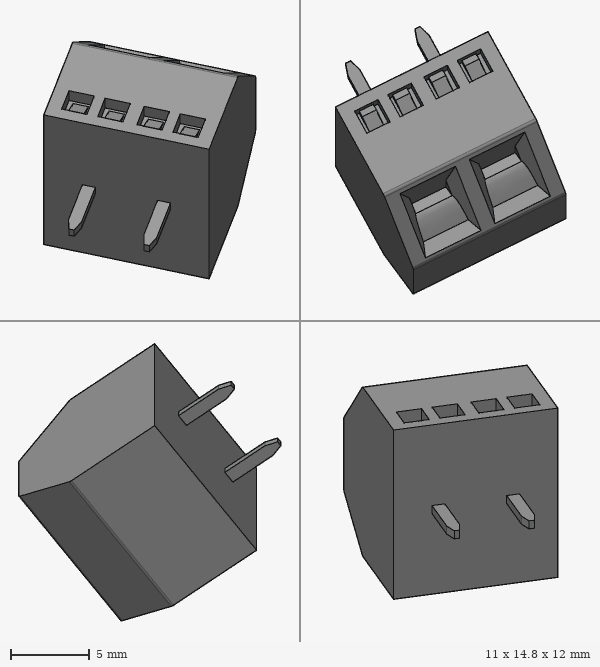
import cadquery as cq
import math

POLES = 2
PITCH = 5.0
HOUSING_WIDTH = 11.0
HOUSING_DEPTH = 10.8
HOUSING_HEIGHT = 12.0
HALF_HEIGHT = HOUSING_HEIGHT / 2
UPPER_CHAMFER = 4.08
LOWER_CHAMFER_DEPTH = 4.1
LOWER_CHAMFER_HEIGHT = 2.8
EDGE_RADIUS = 0.3

PIN_WIDTH = 0.86
PIN_THICKNESS = 0.57
PIN_LENGTH = 4.0
PIN_TIP_LENGTH = 0.82
PIN_TIP_WIDTH = 0.35

ENTRY_WIDTH = 4.0
ENTRY_Y_MIN = 7.01
ENTRY_Y_MAX = 10.55
ENTRY_NECK_WIDTH = 2.62
ENTRY_NECK_DEPTH = 1.3
ENTRY_LEDGE = 1.02
ENTRY_RAMP = 1.25
ENTRY_RAMP_ANGLE = 37.0
ENTRY_BROW_Y = 7.88
ENTRY_BROW_ANGLE = 8.0
ENTRY_FLOOR_ANGLE = 32.0

SOCKET_SPACING = 2.4
SOCKET_SIZE = 1.68
SOCKET_Y_MIN = 0.82
SOCKET_DEPTH = 0.9
WEDGE_WIDTH = 1.02
WEDGE_LENGTH = 1.49
WEDGE_LAND = 0.42
WEDGE_HEIGHT = 0.42

OVERLAP = 1.0

CHAMFER_SUM = HOUSING_DEPTH + HALF_HEIGHT - UPPER_CHAMFER
POLE_POSITIONS = [(i - (POLES - 1) / 2) * PITCH for i in range(POLES)]


def slope(angle):
    return math.tan(math.radians(angle))


def extrude_side_profile(profile, width):
    """Extrude a YZ profile along X in one piece, centred on X = 0."""
    return profile.extrude(width).translate((-width / 2, 0, 0))


def make_housing():
    outline = (
        cq.Workplane("YZ")
        .moveTo(0, -HALF_HEIGHT)
        .lineTo(HOUSING_DEPTH - LOWER_CHAMFER_DEPTH, -HALF_HEIGHT)
        .lineTo(HOUSING_DEPTH, LOWER_CHAMFER_HEIGHT - HALF_HEIGHT)
        .lineTo(HOUSING_DEPTH, HALF_HEIGHT - UPPER_CHAMFER)
        .lineTo(HOUSING_DEPTH - UPPER_CHAMFER, HALF_HEIGHT)
        .lineTo(0, HALF_HEIGHT)
        .close()
    )
    block = extrude_side_profile(outline, HOUSING_WIDTH)
    return block.edges("|X and (not <Y)").fillet(EDGE_RADIUS)


def make_pin():
    half_width = PIN_WIDTH / 2
    half_tip = PIN_TIP_WIDTH / 2
    shoulder_y = PIN_TIP_LENGTH - PIN_LENGTH
    return (
        cq.Workplane("XY")
        .polyline([
            (-half_width, OVERLAP),
            (-half_width, shoulder_y),
            (-half_tip, -PIN_LENGTH),
            (half_tip, -PIN_LENGTH),
            (half_width, shoulder_y),
            (half_width, OVERLAP),
        ])
        .close()
        .extrude(PIN_THICKNESS / 2, both=True)
    )


def make_entry_side_profile():
    """Wire entry as cut through its middle: ledge, smooth hump, falling floor, upright end wall."""
    ledge_z = CHAMFER_SUM - ENTRY_Y_MAX
    foot_y = ENTRY_Y_MAX - ENTRY_LEDGE

    apex_y = foot_y - ENTRY_RAMP
    apex_z = ledge_z + ENTRY_RAMP * slope(ENTRY_RAMP_ANGLE)
    half_way_to_apex = ((foot_y + apex_y) / 2, (ledge_z + apex_z) / 2)
    brow_z = apex_z - (apex_y - ENTRY_BROW_Y) * slope(ENTRY_BROW_ANGLE)

    floor_end_z = brow_z - (ENTRY_BROW_Y - ENTRY_Y_MIN) * slope(ENTRY_FLOOR_ANGLE)
    top_z = HALF_HEIGHT + OVERLAP
    profile = (
        cq.Workplane("YZ")
        .moveTo(ENTRY_Y_MAX, top_z)
        .lineTo(ENTRY_Y_MAX, ledge_z)
        .lineTo(foot_y, ledge_z)
        .bezier(
            [half_way_to_apex, (apex_y, apex_z), (ENTRY_BROW_Y, brow_z)],
            includeCurrent=True,
        )
        .lineTo(ENTRY_Y_MIN, floor_end_z)
        .lineTo(ENTRY_Y_MIN, top_z)
        .close()
    )
    return extrude_side_profile(profile, ENTRY_WIDTH)


def make_entry_funnel():
    """Prism that narrows from the mouth to the neck, square to the upper chamfer."""
    half_mouth = ENTRY_WIDTH / 2
    half_neck = ENTRY_NECK_WIDTH / 2
    chamfer_plane = cq.Plane(
        origin=(0, CHAMFER_SUM / 2, CHAMFER_SUM / 2),
        xDir=(1, 0, 0),
        normal=(0, 1, -1),
    )
    reach = HOUSING_HEIGHT
    return (
        cq.Workplane(chamfer_plane)
        .polyline([
            (-half_mouth, -reach),
            (-half_mouth, 0),
            (-half_neck, ENTRY_NECK_DEPTH),
            (-half_neck, reach),
            (half_neck, reach),
            (half_neck, ENTRY_NECK_DEPTH),
            (half_mouth, 0),
            (half_mouth, -reach),
        ])
        .close()
        .extrude(reach, both=True)
    )


def make_wire_entry():
    return make_entry_side_profile().intersect(make_entry_funnel())


def make_socket():
    """Square pocket, less the wedge that stays on its floor."""
    floor_z = HALF_HEIGHT - SOCKET_DEPTH
    pocket = cq.Workplane("XY").box(
        SOCKET_SIZE, SOCKET_SIZE, SOCKET_DEPTH + OVERLAP, centered=(True, False, False)
    ).translate((0, SOCKET_Y_MIN, floor_z))
    wedge = (
        cq.Workplane("YZ")
        .polyline([
            (SOCKET_Y_MIN, floor_z),
            (SOCKET_Y_MIN + WEDGE_LENGTH, floor_z),
            (SOCKET_Y_MIN + WEDGE_LAND, floor_z + WEDGE_HEIGHT),
            (SOCKET_Y_MIN, floor_z + WEDGE_HEIGHT),
        ])
        .close()
    )
    return pocket.cut(extrude_side_profile(wedge, WEDGE_WIDTH))


result = make_housing()
for pole_x in POLE_POSITIONS:
    result = result.union(make_pin().translate((pole_x, 0, 0)))
    result = result.cut(make_wire_entry().translate((pole_x, 0, 0)))
    for side in (-1, 1):
        socket_x = pole_x + side * SOCKET_SPACING / 2
        result = result.cut(make_socket().translate((socket_x, 0, 0)))